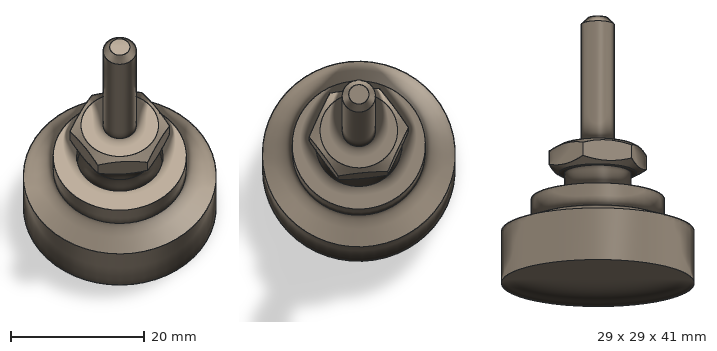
import cadquery as cq
import math

foot_diameter = 29.0
foot_radius = foot_diameter / 2
rim_height = 8.0
collar_radius = 10.0
collar_base_z = 9.6
foot_height = 13.0

ball_radius = 6.5
neck_radius = 5.0
neck_base_z = 13.9
hex_base_z = 17.02
hex_top_z = 21.0
hex_across_flats = 13.0
hex_turn = -2.0
hex_face_radius = 5.82
hex_chamfer_angle = 30.0
shank_radius = 2.5
shank_top_z = 41.0
tip_chamfer = 1.0

ball_center_z = neck_base_z - math.sqrt(ball_radius**2 - neck_radius**2)


def cylinder(radius, bottom_z, top_z):
    return cq.Workplane("XY").workplane(offset=bottom_z).circle(radius).extrude(top_z - bottom_z)


def make_ball():
    return cq.Workplane("XY").sphere(ball_radius).translate((0, 0, ball_center_z))


def make_foot():
    """Revolved disc with a round-bottomed socket of the same radius as the ball."""
    disc = (
        cq.Workplane("XZ")
        .polyline([
            (0, 0),
            (foot_radius, 0),
            (foot_radius, rim_height),
            (collar_radius, collar_base_z),
            (collar_radius, foot_height),
            (0, foot_height),
        ])
        .close()
        .revolve(360, (0, 0), (0, 1))
    )
    socket_mouth = cylinder(ball_radius, ball_center_z, foot_height)
    return disc.cut(make_ball()).cut(socket_mouth)


def make_hexagon():
    """Hexagon whose corners are cut by a cone above and below."""
    corner_radius = hex_across_flats / math.sqrt(3)
    prism = (
        cq.Workplane("XY")
        .workplane(offset=hex_base_z)
        .polygon(6, 2 * corner_radius)
        .extrude(hex_top_z - hex_base_z)
        .rotate((0, 0, 0), (0, 0, 1), hex_turn)
    )
    envelope_radius = 1.05 * corner_radius
    cone_drop = (envelope_radius - hex_face_radius) * math.tan(math.radians(hex_chamfer_angle))
    envelope = (
        cq.Workplane("XZ")
        .polyline([
            (0, hex_base_z),
            (hex_face_radius, hex_base_z),
            (envelope_radius, hex_base_z + cone_drop),
            (envelope_radius, hex_top_z - cone_drop),
            (hex_face_radius, hex_top_z),
            (0, hex_top_z),
        ])
        .close()
        .revolve(360, (0, 0), (0, 1))
    )
    return prism.intersect(envelope)


def make_ball_stud():
    neck = cylinder(neck_radius, ball_center_z, hex_base_z)
    shank = cylinder(shank_radius, hex_top_z, shank_top_z).faces(">Z").chamfer(tip_chamfer)
    return make_ball().union(neck).union(make_hexagon()).union(shank)


foot = make_foot()
ball_stud = make_ball_stud()

result = cq.Compound.makeCompound([foot.solids().val(), ball_stud.solids().val()])